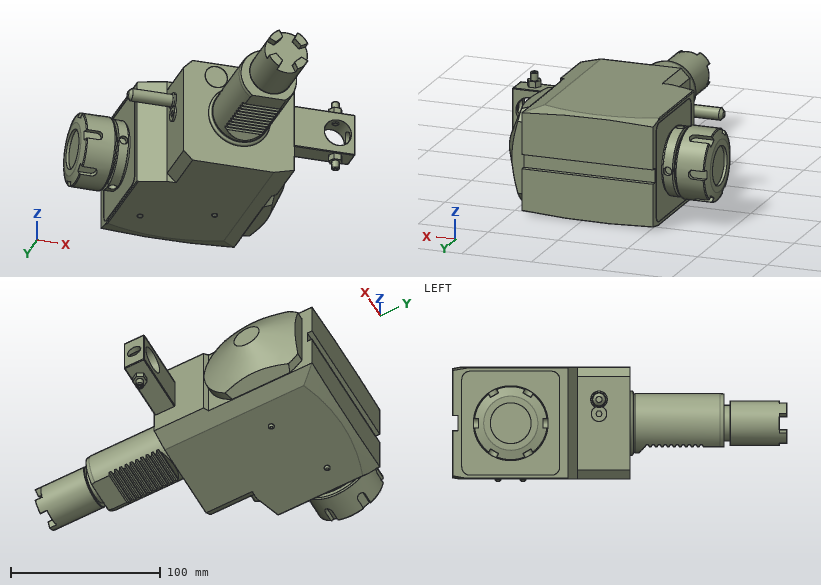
import cadquery as cq
import math


BODY_HEIGHT = 75.0
BODY_HALF_HEIGHT = BODY_HEIGHT / 2
BODY_BACK = 118.9
HEAD_LEFT = -58.2
HEAD_RIGHT = 35.8
FOOT_LEFT = -39.2
FOOT_RIGHT = 39.0
FOOT_LEFT_END = 35.1
HEAD_LEFT_START = 41.6
FOOT_RIGHT_END = 37.5
HEAD_RIGHT_START = 39.8
FOOT_CHAMFER = 6.3
HEAD_EDGE_CHAMFER = 0.7
SIDE_TAPER_START = 24.5
SIDE_TAPER_SLOPE = math.tan(math.radians(15))

RELIEF_X = -16.3
RELIEF_START = 114.0
RELIEF_ANGLE = 10
RELIEF_HALF_WIDTH = 78.3
RELIEF_SAG = 5.0
RELIEF_REACH = 33.5
RELIEF_HEIGHT = 11.2

REAR_SLOT_WIDTH = 10.0
REAR_SLOT_DEPTH = 3.5

PANEL_LENGTH = 65.5
PANEL_HEIGHT = 69.6
PANEL_RADIUS = 5.5
PANEL_DEPTH = 0.2

PLUG_X = -16.1
PLUG_Z = 27.8
PLUG_RADIUS = 7.8
PLUG_DEPTH = 0.5

STUD_RADIUS = 2.0
STUD_HEIGHT = 1.5
STUD_CHAMFER = 1.1
STUD_SPOTS = [(-40.5, 88.5), (6.5, 71.6)]

SPINDLE_Y = 80.0
NUT_FRONT = -91.0
NUT_CONE_END = -89.3
NUT_BEVEL_START = -69.5
NUT_BACK = -68.3
COLLAR_FRONT = -66.3
COLLAR_BACK = -59.5
NUT_RADIUS = 25.0
NUT_RIM_RADIUS = 24.5
NUT_FACE_RADIUS = 18.1
NUT_GROOVE_RADIUS = 20.5
COLLAR_RADIUS = 24.0
COLLAR_NECK_RADIUS = 22.4
NUT_BORE_RADIUS = 13.7
NUT_BORE_DEPTH = 2.0
NUT_SLOT_COUNT = 6
NUT_SLOT_WIDTH = 6.3
NUT_SLOT_FLOOR = 21.7
UPPER_SLOT_END = -74.3
LOWER_SLOT_END = -78.1
COLLAR_HOLE_COUNT = 4
COLLAR_HOLE_RADIUS = 3.0
COLLAR_HOLE_DEPTH = 3.4

COVER_RADIUS = 40.3
COVER_CONE_START = 41.6
COVER_END = 56.0
COVER_END_RADIUS = 9.6
COVER_BACK = 111.3
COVER_TRIM_DROP = 0.7

FLANGE_RADIUS = 21.7
FLANGE_END = -2.13
FLANGE_ROUND = 1.45
UNDERCUT_RADIUS = 19.7
UNDERCUT_END = -3.1
SHANK_DIAMETER = 40.0
SHANK_RADIUS = SHANK_DIAMETER / 2
SHANK_END = -63.0
SHANK_CHAMFER_LENGTH = 2.7
SHANK_CHAMFER_DEPTH = 0.5
NECK_RADIUS = 12.0
COUPLING_START = -66.7
COUPLING_FACE = -99.8
COUPLING_TIP = -105.0
COUPLING_RADIUS = 15.0
COUPLING_CHAMFER = 0.5
LUG_COUNT = 4
LUG_INNER_RADIUS = 9.8
LUG_HALF_ANGLE = 19.5

FLAT_Z = -16.0
FLAT_START = -9.8
TOOTH_PITCH = 4.0
TOOTH_DEPTH = 1.3
GROOVE_COUNT = 10
FIRST_GROOVE = -11.5
GROOVE_TOP_WIDTH = 3.0
GROOVE_FLOOR_WIDTH = 1.3

PIN_Y = 20.8
PIN_Z = 16.0
PIN_TIP = -71.6
PIN_RADIUS = 4.3
PIN_CHAMFER = 2.2
SEAT_RADIUS = 5.5
SEAT_THICKNESS = 2.0
SEAT_CHAMFER = 1.0
SCREW_Z = 6.3
SCREW_RADIUS = 5.1
SCREW_HEIGHT = 1.3
SCREW_SOCKET_WIDTH = 4.3

ARM_END = 82.0
ARM_FRONT = 0.55
ARM_BACK = 16.0
ARM_HEIGHT = 30.2
ARM_HALF_HEIGHT = ARM_HEIGHT / 2
ARM_CHAMFER = 0.55
ARM_HOLE_X = 69.8
ARM_HOLE_DIAMETER = 19.0
ARM_HOLE_RADIUS = ARM_HOLE_DIAMETER / 2
ARM_END_HOLE_RADIUS = 5.0
CLAMP_Y = 6.0
CLAMP_NUT_WIDTH = 9.6
CLAMP_NUT_HEIGHT = 4.3
CLAMP_DIAMETER = 5.1
CLAMP_RADIUS = CLAMP_DIAMETER / 2
CLAMP_START = 8.7
CLAMP_END = 25.0
CLAMP_CHAMFER = 0.7
CLAMP_SOCKET_WIDTH = 2.5
CLAMP_SOCKET_DEPTH = 1.8

OVERLAP = 2.2


def disc_x(y, z, x_start, x_end, radius):
    """Cylinder along X."""
    plane = cq.Workplane("YZ", origin=(x_start, y, z))
    return plane.circle(radius).extrude(x_end - x_start)


def spun_about_spindle(outline):
    """Solid of revolution about the spindle from (x, radius) points."""
    points = [(x, SPINDLE_Y + radius) for x, radius in outline]
    profile = cq.Workplane("XY").polyline(points).close()
    return profile.revolve(360, (0, SPINDLE_Y, 0), (1, SPINDLE_Y, 0))


def turn_about_spindle(shape, angle):
    return shape.rotate((0, SPINDLE_Y, 0), (1, SPINDLE_Y, 0), angle)


def below_side_taper(shape, drop):
    """Trim to the sloping planes at the top and bottom of the right side, moved inwards by drop."""
    start_z = BODY_HALF_HEIGHT - drop
    far_x = COVER_END + OVERLAP
    far_z = start_z - (far_x - SIDE_TAPER_START) * SIDE_TAPER_SLOPE
    wedge = (
        cq.Workplane("XZ", origin=(0, BODY_BACK + OVERLAP, 0))
        .polyline([
            (SIDE_TAPER_START, start_z),
            (far_x, far_z),
            (far_x, BODY_HEIGHT),
            (SIDE_TAPER_START, BODY_HEIGHT),
        ])
        .close()
        .extrude(BODY_BACK + 2 * OVERLAP)
    )
    return shape.cut(wedge).cut(wedge.mirror("XY"))


def make_rear_relief():
    """Cutter above a shallow cylinder that dips towards the rear face."""
    tilt = math.radians(RELIEF_ANGLE)
    plane = cq.Plane(
        origin=(RELIEF_X, RELIEF_START, BODY_HALF_HEIGHT),
        xDir=(1, 0, 0),
        normal=(0, math.cos(tilt), -math.sin(tilt)),
    )
    return (
        cq.Workplane(plane)
        .moveTo(-RELIEF_HALF_WIDTH, RELIEF_SAG)
        .threePointArc((0, 0), (RELIEF_HALF_WIDTH, RELIEF_SAG))
        .lineTo(RELIEF_HALF_WIDTH, -RELIEF_HEIGHT)
        .lineTo(-RELIEF_HALF_WIDTH, -RELIEF_HEIGHT)
        .close()
        .extrude(RELIEF_REACH, both=True)
    )


def make_housing():
    body = (
        cq.Workplane("XY", origin=(0, 0, -BODY_HALF_HEIGHT))
        .polyline([
            (FOOT_LEFT, 0),
            (FOOT_RIGHT, 0),
            (FOOT_RIGHT, FOOT_RIGHT_END),
            (HEAD_RIGHT, HEAD_RIGHT_START),
            (HEAD_RIGHT, BODY_BACK),
            (HEAD_LEFT, BODY_BACK),
            (HEAD_LEFT, HEAD_LEFT_START),
            (FOOT_LEFT, FOOT_LEFT_END),
        ])
        .close()
        .extrude(BODY_HEIGHT)
    )
    body = body.faces("<X").edges("|Y").chamfer(HEAD_EDGE_CHAMFER)
    foot_bevel = (
        cq.Workplane("XZ")
        .polyline([
            (FOOT_LEFT, BODY_HALF_HEIGHT),
            (FOOT_LEFT + FOOT_CHAMFER, BODY_HALF_HEIGHT),
            (FOOT_LEFT, BODY_HALF_HEIGHT - FOOT_CHAMFER),
        ])
        .close()
        .extrude(-FOOT_LEFT_END)
    )
    body = body.cut(foot_bevel).cut(foot_bevel.mirror("XY"))
    body = below_side_taper(body, 0)
    relief = make_rear_relief()
    body = body.cut(relief).cut(relief.mirror("XY"))

    slot_length = 2 * (HEAD_RIGHT - HEAD_LEFT)
    rear_slot = cq.Workplane("XY", origin=(0, BODY_BACK, 0))
    rear_slot = rear_slot.box(slot_length, 2 * REAR_SLOT_DEPTH, REAR_SLOT_WIDTH)
    panel = (
        cq.Workplane("YZ", origin=(HEAD_LEFT, SPINDLE_Y, 0))
        .rect(PANEL_LENGTH, PANEL_HEIGHT)
        .extrude(PANEL_DEPTH)
        .edges("|X")
        .fillet(PANEL_RADIUS)
    )
    plug = (
        cq.Workplane("XZ", origin=(PLUG_X, 0, PLUG_Z))
        .circle(PLUG_RADIUS)
        .extrude(-PLUG_DEPTH)
    )
    return body.cut(rear_slot).cut(panel).cut(plug)


def make_studs():
    return (
        cq.Workplane("XY", origin=(0, 0, -BODY_HALF_HEIGHT - STUD_HEIGHT))
        .pushPoints(STUD_SPOTS)
        .circle(STUD_RADIUS)
        .extrude(STUD_HEIGHT + OVERLAP)
        .faces("<Z")
        .chamfer(STUD_CHAMFER)
    )


def make_nut_slot(slot_end):
    """Round-ended slot cutter above the spindle, open at the nut face."""
    end_center = slot_end - NUT_SLOT_WIDTH / 2
    length = end_center - NUT_FRONT + OVERLAP
    plane = cq.Workplane("XY", origin=(end_center, SPINDLE_Y, NUT_SLOT_FLOOR))
    height = NUT_RADIUS - NUT_SLOT_FLOOR + OVERLAP
    straight = plane.center(-length / 2, 0).rect(length, NUT_SLOT_WIDTH).extrude(height)
    return straight.union(plane.circle(NUT_SLOT_WIDTH / 2).extrude(height))


def make_collet_nut():
    nut = spun_about_spindle([
        (NUT_FRONT, 0),
        (NUT_FRONT, NUT_FACE_RADIUS),
        (NUT_CONE_END, NUT_RIM_RADIUS),
        (NUT_CONE_END + NUT_RADIUS - NUT_RIM_RADIUS, NUT_RADIUS),
        (NUT_BEVEL_START, NUT_RADIUS),
        (NUT_BACK, NUT_RIM_RADIUS),
        (NUT_BACK, NUT_GROOVE_RADIUS),
        (COLLAR_FRONT, NUT_GROOVE_RADIUS),
        (COLLAR_FRONT, COLLAR_RADIUS),
        (COLLAR_BACK, COLLAR_RADIUS),
        (COLLAR_BACK, COLLAR_NECK_RADIUS),
        (HEAD_LEFT + OVERLAP, COLLAR_NECK_RADIUS),
        (HEAD_LEFT + OVERLAP, 0),
    ])
    nut = nut.cut(disc_x(SPINDLE_Y, 0, NUT_FRONT, NUT_FRONT + NUT_BORE_DEPTH, NUT_BORE_RADIUS))

    step = 360 / NUT_SLOT_COUNT
    for index in range(NUT_SLOT_COUNT):
        angle = (index - 0.5) * step
        is_upper = abs(angle) < step
        slot = make_nut_slot(UPPER_SLOT_END if is_upper else LOWER_SLOT_END)
        nut = nut.cut(turn_about_spindle(slot, angle))

    collar_middle = (COLLAR_FRONT + COLLAR_BACK) / 2
    hole_floor = COLLAR_RADIUS - COLLAR_HOLE_DEPTH
    hole = cq.Workplane("XY", origin=(collar_middle, SPINDLE_Y, hole_floor))
    hole = hole.circle(COLLAR_HOLE_RADIUS).extrude(COLLAR_HOLE_DEPTH + OVERLAP)
    for index in range(COLLAR_HOLE_COUNT):
        nut = nut.cut(turn_about_spindle(hole, index * 360 / COLLAR_HOLE_COUNT))
    return nut


def make_cover():
    cover = spun_about_spindle([
        (HEAD_RIGHT - OVERLAP, 0),
        (HEAD_RIGHT - OVERLAP, COVER_RADIUS),
        (COVER_CONE_START, COVER_RADIUS),
        (COVER_END, COVER_END_RADIUS),
        (COVER_END, 0),
    ])
    cover_diameter = 2 * COVER_RADIUS
    behind = cq.Workplane("XY", origin=(COVER_END, COVER_BACK + COVER_RADIUS, 0))
    behind = behind.box(cover_diameter, cover_diameter, cover_diameter)
    return below_side_taper(cover.cut(behind), COVER_TRIM_DROP)


def make_shank():
    """Flange, shank, neck and coupling turned about the Y axis."""
    bend = FLANGE_ROUND * math.sqrt(0.5)
    round_center = (FLANGE_RADIUS - FLANGE_ROUND, FLANGE_END + FLANGE_ROUND)
    return (
        cq.Workplane("XY")
        .moveTo(0, OVERLAP)
        .lineTo(FLANGE_RADIUS, OVERLAP)
        .lineTo(FLANGE_RADIUS, round_center[1])
        .threePointArc(
            (round_center[0] + bend, round_center[1] - bend),
            (round_center[0], FLANGE_END),
        )
        .polyline([
            (UNDERCUT_RADIUS, FLANGE_END),
            (UNDERCUT_RADIUS, UNDERCUT_END),
            (SHANK_RADIUS, UNDERCUT_END),
            (SHANK_RADIUS, SHANK_END + SHANK_CHAMFER_LENGTH),
            (SHANK_RADIUS - SHANK_CHAMFER_DEPTH, SHANK_END),
            (NECK_RADIUS, SHANK_END),
            (NECK_RADIUS, COUPLING_START),
            (COUPLING_RADIUS - COUPLING_CHAMFER, COUPLING_START),
            (COUPLING_RADIUS, COUPLING_START - COUPLING_CHAMFER),
            (COUPLING_RADIUS, COUPLING_TIP),
            (0, COUPLING_TIP),
        ], includeCurrent=True)
        .close()
        .revolve(360, (0, 0, 0), (0, 1, 0))
    )


def make_shank_flat():
    """Cutter for the flat under the shank, with a sloping start and a row of tooth grooves."""
    rise = SHANK_DIAMETER + FLAT_Z
    outline = [(FLAT_START + rise, FLAT_Z - rise), (FLAT_START, FLAT_Z)]
    for index in range(GROOVE_COUNT):
        center = FIRST_GROOVE - index * TOOTH_PITCH
        outline += [
            (center + GROOVE_TOP_WIDTH / 2, FLAT_Z),
            (center + GROOVE_FLOOR_WIDTH / 2, FLAT_Z + TOOTH_DEPTH),
            (center - GROOVE_FLOOR_WIDTH / 2, FLAT_Z + TOOTH_DEPTH),
            (center - GROOVE_TOP_WIDTH / 2, FLAT_Z),
        ]
    outline += [(SHANK_END, FLAT_Z), (SHANK_END, FLAT_Z - rise)]
    profile = cq.Workplane("YZ").polyline(outline).close()
    return profile.extrude(SHANK_RADIUS, both=True)


def make_coupling_relief():
    """Cutter that clears the coupling tip down to its face, leaving the diagonal lugs."""
    depth = COUPLING_FACE - COUPLING_TIP
    half_angle = math.radians(LUG_HALF_ANGLE)
    inner = (LUG_INNER_RADIUS * math.cos(half_angle), LUG_INNER_RADIUS * math.sin(half_angle))
    reach = 2 * COUPLING_RADIUS
    outer = (reach * math.cos(half_angle), reach * math.sin(half_angle))
    plane = cq.Workplane("XZ", origin=(0, COUPLING_FACE, 0))
    lug_space = (
        plane.polyline([inner, outer, (outer[0], -outer[1]), (inner[0], -inner[1])])
        .close()
        .extrude(depth)
    )
    relief = plane.circle(COUPLING_RADIUS + OVERLAP).extrude(depth)
    for index in range(LUG_COUNT):
        angle = (index + 0.5) * 360 / LUG_COUNT
        relief = relief.cut(lug_space.rotate((0, 0, 0), (0, 1, 0), angle))
    return relief


def make_side_pin():
    pin = disc_x(PIN_Y, PIN_Z, PIN_TIP, FOOT_LEFT + OVERLAP, PIN_RADIUS)
    pin = pin.faces("<X").chamfer(PIN_CHAMFER)
    seat = disc_x(PIN_Y, PIN_Z, FOOT_LEFT - SEAT_THICKNESS, FOOT_LEFT + OVERLAP, SEAT_RADIUS)
    seat = seat.faces("<X").chamfer(SEAT_CHAMFER)
    screw_front = FOOT_LEFT - SCREW_HEIGHT
    screw = disc_x(PIN_Y, SCREW_Z, screw_front, FOOT_LEFT + OVERLAP, SCREW_RADIUS)
    screw_socket = cq.Workplane("YZ", origin=(screw_front, PIN_Y, SCREW_Z))
    screw = screw.cut(screw_socket.polygon(6, SCREW_SOCKET_WIDTH).extrude(SCREW_HEIGHT))
    return pin.union(seat).union(screw)


def make_arm():
    arm_start = FOOT_RIGHT - OVERLAP
    arm = (
        cq.Workplane("XY")
        .box(ARM_END - arm_start, ARM_BACK - ARM_FRONT, ARM_HEIGHT)
        .translate(((ARM_END + arm_start) / 2, (ARM_BACK + ARM_FRONT) / 2, 0))
    )
    arm = arm.edges("|X or >X").chamfer(ARM_CHAMFER)

    nut = (
        cq.Workplane("XY", origin=(ARM_HOLE_X, CLAMP_Y, ARM_HALF_HEIGHT - ARM_CHAMFER))
        .polygon(6, CLAMP_NUT_WIDTH)
        .extrude(CLAMP_NUT_HEIGHT + ARM_CHAMFER)
    )
    screw = (
        cq.Workplane("XY", origin=(ARM_HOLE_X, CLAMP_Y, CLAMP_START))
        .circle(CLAMP_RADIUS)
        .extrude(CLAMP_END - CLAMP_START)
        .faces("<Z or >Z")
        .chamfer(CLAMP_CHAMFER)
        .faces(">Z")
        .workplane()
        .polygon(6, CLAMP_SOCKET_WIDTH)
        .cutBlind(-CLAMP_SOCKET_DEPTH)
    )
    clamp = nut.union(screw)
    hole = (
        cq.Workplane("XZ", origin=(ARM_HOLE_X, ARM_BACK, 0))
        .circle(ARM_HOLE_RADIUS)
        .extrude(ARM_BACK)
    )
    end_hole = disc_x((ARM_FRONT + ARM_BACK) / 2, 0, ARM_HOLE_X, ARM_END, ARM_END_HOLE_RADIUS)
    arm = arm.cut(hole).cut(end_hole)
    return arm.union(clamp).union(clamp.mirror("XY"))


result = (
    make_housing()
    .union(make_studs())
    .union(make_collet_nut())
    .union(make_cover())
    .union(make_shank().cut(make_shank_flat()).cut(make_coupling_relief()))
    .union(make_side_pin())
    .union(make_arm())
)